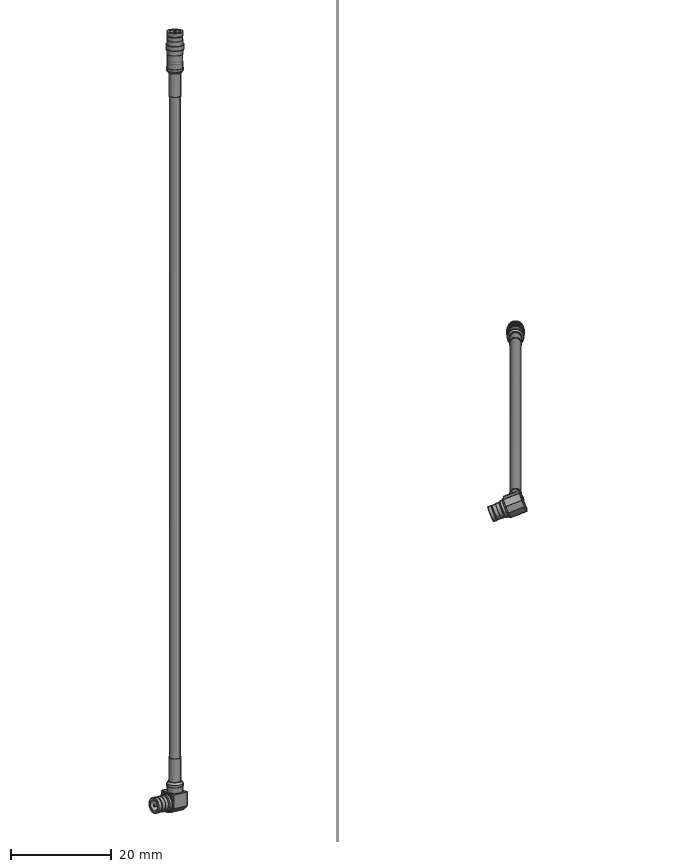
import cadquery as cq


OVERALL_LENGTH = 161.7
FLANGE_RADIUS = 1.98
TOP_Z = OVERALL_LENGTH - FLANGE_RADIUS

CABLE_RADIUS = 1.1
FERRULE_RADIUS = 1.22
FERRULE_LENGTH = 4.9

BARREL_RADIUS = 1.6
SNAP_GROOVE_RADIUS = 1.53
SNAP_GROOVE_START = 0.73
SNAP_GROOVE_TAPER = 0.2
SNAP_GROOVE_END = 1.7
SOCKET_RADIUS = 1.1
SOCKET_DEPTH = 1.5

PIN_RADIUS = 0.25
PIN_SEAT_DEPTH = 1.0
PIN_LENGTH = SOCKET_DEPTH + PIN_SEAT_DEPTH

STUB_RADIUS = 1.65
STUB_NECK_RADIUS = 1.57
STUB_END_RADIUS = 1.32
STUB_CHAMFER_LENGTH = 0.48
STUB_LAND_LENGTH = 0.5

STRAIGHT_LENGTH = 8.47
COLLAR_RADIUS = 1.8
COLLAR_START = 2.68
COLLAR_END = 3.6
WAIST_RADIUS = 1.53
WAIST_START = 4.63
WAIST_END = 5.99
WAIST_TAPER = 0.44

BLOCK_WIDTH = 2 * FLANGE_RADIUS
BLOCK_BACK_Y = 1.6
BLOCK_FACE_Y = -1.8
BLOCK_TOP = 1.99
BLOCK_BOTTOM = -FLANGE_RADIUS
BLOCK_BOTTOM_WIDTH = 1.42
BLOCK_CHAMFER_TOP = -0.88
STUB_TOP = 4.11

OVERALL_DEPTH = 7.1
PLUG_END_Y = COLLAR_RADIUS - OVERALL_DEPTH
PLUG_LENGTH = BLOCK_FACE_Y - PLUG_END_Y
FLANGE_THICKNESS = 0.3
SHOULDER_RADIUS = 1.75
SHOULDER_LENGTH = 0.85
SHOULDER_CHAMFER_LENGTH = 0.25

CABLE_BOTTOM = STUB_TOP
CABLE_TOP = TOP_Z - STRAIGHT_LENGTH


def interface_profile():
    """Outer (radius, distance) points of the barrel, from the open end past the snap groove."""
    return [
        (BARREL_RADIUS, 0),
        (BARREL_RADIUS, SNAP_GROOVE_START),
        (SNAP_GROOVE_RADIUS, SNAP_GROOVE_START + SNAP_GROOVE_TAPER),
        (SNAP_GROOVE_RADIUS, SNAP_GROOVE_END),
        (BARREL_RADIUS, SNAP_GROOVE_END),
    ]


def stub_profile(end):
    """Outer (radius, distance) points of the crimp stub, whose tip is at distance `end`."""
    chamfer_start = end - STUB_CHAMFER_LENGTH
    land_start = chamfer_start - STUB_LAND_LENGTH
    return [
        (STUB_NECK_RADIUS, land_start),
        (STUB_RADIUS, land_start),
        (STUB_RADIUS, chamfer_start),
        (STUB_END_RADIUS, end),
    ]


def turned(profile):
    """Solid of revolution about Z whose distances from its first point run along +Z."""
    start = profile[0][1]
    end = profile[-1][1]
    outline = [(0, start), *profile, (0, end)]
    return cq.Workplane("XZ").polyline(outline).close().revolve(360, (0, 0), (0, 1))


def cylinder(radius, start, length):
    return cq.Workplane("XY").workplane(offset=start).circle(radius).extrude(length)


def open_socket(shell):
    """Cuts the mating socket and the pin's hole into a shell whose open end is at Z = 0."""
    return shell.cut(cylinder(SOCKET_RADIUS, 0, SOCKET_DEPTH)).cut(make_pin())


def make_pin():
    return cylinder(PIN_RADIUS, 0, PIN_LENGTH)


def to_straight_end(body):
    """Moves a body built from Z = 0 upward so that its open end faces +Z at the top."""
    return body.rotate((0, 0, 0), (1, 0, 0), 180).translate((0, 0, TOP_Z))


def to_right_angle_end(body):
    """Moves a body built from Z = 0 upward so that its open end faces -Y at the bottom."""
    return body.rotate((0, 0, 0), (1, 0, 0), -90).translate((0, PLUG_END_Y, 0))


def make_straight_shell():
    profile = [
        *interface_profile(),
        (BARREL_RADIUS, COLLAR_START),
        (COLLAR_RADIUS, COLLAR_START),
        (COLLAR_RADIUS, COLLAR_END),
        (BARREL_RADIUS, COLLAR_END),
        (BARREL_RADIUS, WAIST_START),
        (WAIST_RADIUS, WAIST_START),
        (WAIST_RADIUS, WAIST_END),
        (STUB_NECK_RADIUS, WAIST_END + WAIST_TAPER),
        *stub_profile(STRAIGHT_LENGTH),
    ]
    return open_socket(turned(profile))


def make_plug_shell():
    flange_start = PLUG_LENGTH - FLANGE_THICKNESS
    shoulder_start = PLUG_LENGTH - SHOULDER_LENGTH
    profile = [
        *interface_profile(),
        (BARREL_RADIUS, shoulder_start - SHOULDER_CHAMFER_LENGTH),
        (SHOULDER_RADIUS, shoulder_start),
        (SHOULDER_RADIUS, flange_start),
        (FLANGE_RADIUS, flange_start),
        (FLANGE_RADIUS, PLUG_LENGTH),
    ]
    return open_socket(turned(profile))


def make_block():
    half_width = BLOCK_WIDTH / 2
    half_bottom = BLOCK_BOTTOM_WIDTH / 2
    outline = [
        (-half_width, BLOCK_TOP),
        (half_width, BLOCK_TOP),
        (half_width, BLOCK_CHAMFER_TOP),
        (half_bottom, BLOCK_BOTTOM),
        (-half_bottom, BLOCK_BOTTOM),
        (-half_width, BLOCK_CHAMFER_TOP),
    ]
    back = cq.Workplane("XZ", origin=(0, BLOCK_BACK_Y, 0))
    block = back.polyline(outline).close().extrude(BLOCK_BACK_Y - BLOCK_FACE_Y)
    stub = turned([(STUB_NECK_RADIUS, BLOCK_TOP), *stub_profile(STUB_TOP)])
    return block.union(stub)


def make_ferrule(start):
    ring = cq.Workplane("XY").workplane(offset=start).circle(FERRULE_RADIUS).circle(CABLE_RADIUS)
    return ring.extrude(FERRULE_LENGTH)


cable = cylinder(CABLE_RADIUS, CABLE_BOTTOM, CABLE_TOP - CABLE_BOTTOM)
ferrules = [make_ferrule(start) for start in (CABLE_BOTTOM, CABLE_TOP - FERRULE_LENGTH)]
pins = [place(make_pin()) for place in (to_straight_end, to_right_angle_end)]
straight_shell = to_straight_end(make_straight_shell())
plug_shell = to_right_angle_end(make_plug_shell())
block = make_block()

bodies = [cable, *ferrules, *pins, straight_shell, plug_shell, block]
result = cq.Compound.makeCompound([body.val() for body in bodies])